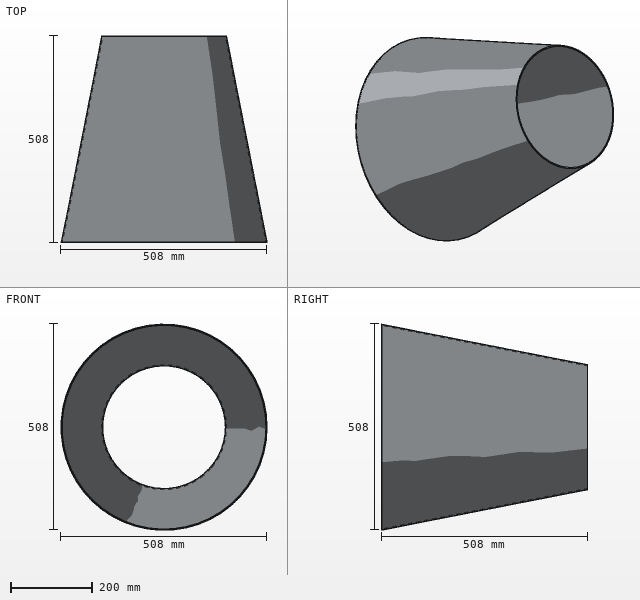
import cadquery as cq

large_diameter = 508.0
small_diameter = 308.0
length = 508.0
wall = 3.0

large_radius = large_diameter / 2
small_radius = small_diameter / 2


def reducer_shell():
    """Revolve the slanted wall section about Y, large end at Y = 0."""
    wall_section = [
        (large_radius - wall, 0),
        (large_radius, 0),
        (small_radius, length),
        (small_radius - wall, length),
    ]
    return (
        cq.Workplane("XY")
        .polyline(wall_section)
        .close()
        .revolve(360, (0, 0, 0), (0, 1, 0))
    )


result = reducer_shell()